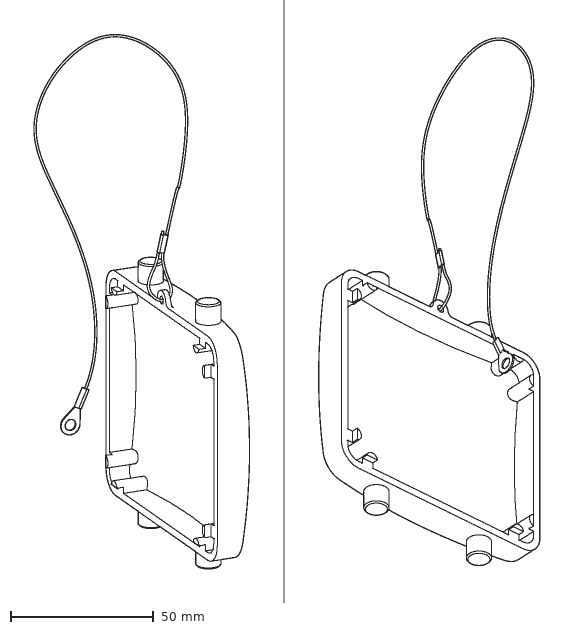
import cadquery as cq
import math


COVER_WIDTH = 92.3
COVER_HEIGHT = 83.0
COVER_DEPTH = 17.4
CORNER_RADIUS = 8.0
WALL = 2.9
DOME_RADIUS = 231.7
DOME_EDGE_FILLET = 1.2

POST_DIAMETER = 8.9
POST_SPACING = 47.7
POST_Y = 7.0
POST_SPAN = 97.9
POST_CHAMFER = 0.5

PEG_DIAMETER = 4.8
PEG_PROTRUSION = 2.5
PEG_NOSE_DEPTH = 2.0
PEG_INSET = 1.7
PEG_X = 34.0
PEG_Z = 29.5

LUG_RADIUS = 3.5
LUG_HOLE_DIAMETER = 2.7
LUG_RISE = 1.4
LUG_THICKNESS = 2.0
LUG_FILLET = 2.1

CABLE_DIAMETER = 0.87
CRIMP_WIDTH = 2.9
CRIMP_THICKNESS = 1.06
FERRULE_LENGTH = 6.5
FERRULE_Y = 0.4
FERRULE_Z = 63.7
FERRULE_TILT = 13.0
STRAND_SPACING = 1.7
CABLE_STUB = 1.2
EYE_Y = -35.1
EYE_Z = 1.7
EYE_TILT = 24.7
EYE_RADIUS = 3.7
EYE_HOLE_DIAMETER = 4.0
EYE_THICKNESS = 0.5
NECK_START = 6.5
NECK_WIDTH = 2.3
BARREL_END = 13.9

BOW_POINTS = [
    (-25.5, 38.5),
    (-27.6, 53.5),
    (-34.0, 73.2),
    (-43.5, 94.2),
    (-48.8, 113.3),
    (-41.3, 132.6),
    (-20.9, 143.6),
    (0.5, 132.6),
    (9.7, 108.1),
    (6.5, 83.8),
]
LOOP_POINTS = [
    (0.8, 55.8),
    (2.7, 49.8),
    (3.7, 45.4),
    (2.1, 42.7),
    (-0.5, 42.9),
    (-2.9, 44.5),
    (-5.0, 48.0),
    (-3.3, 54.5),
]

HALF_WIDTH = COVER_WIDTH / 2
HALF_HEIGHT = COVER_HEIGHT / 2
DOME_CENTRE_Y = COVER_DEPTH - DOME_RADIUS
PEG_WALL_X = HALF_WIDTH - WALL - PEG_INSET
PEG_WALL_Z = HALF_HEIGHT - WALL - PEG_INSET
PEG_REACH = PEG_INSET + WALL / 2
WALL_ROOT_Z = HALF_HEIGHT - WALL / 2
LUG_Z = HALF_HEIGHT + LUG_RISE


def toward_back(y=0.0):
    """Workplane parallel to XZ at the given Y, with local x = -X, local y = Z and normal +Y."""
    return cq.Workplane(cq.Plane((0, y, 0), (-1, 0, 0), (0, 1, 0)))




def dome(radius):
    return cq.Workplane("XY").sphere(radius).translate((0, DOME_CENTRE_Y, 0))


def rounded_block(width, height, radius):
    block = toward_back().rect(width, height).extrude(COVER_DEPTH)
    return block.edges("|Y").fillet(radius)


def cavity():
    block = rounded_block(COVER_WIDTH - 2 * WALL, COVER_HEIGHT - 2 * WALL, CORNER_RADIUS - WALL)
    return block.intersect(dome(DOME_RADIUS - WALL))


def outer_form():
    form = rounded_block(COVER_WIDTH, COVER_HEIGHT, CORNER_RADIUS).intersect(dome(DOME_RADIUS))
    return form.faces("%SPHERE").edges().fillet(DOME_EDGE_FILLET)


def post(x, side):
    """Chamfered round post standing on the top (side = 1) or bottom (side = -1) wall."""
    plane = cq.Plane((x, POST_Y, side * WALL_ROOT_Z), (1, 0, 0), (0, 0, side))
    body = cq.Workplane(plane).circle(POST_DIAMETER / 2).extrude(POST_SPAN / 2 - WALL_ROOT_Z)
    return body.faces(">Z" if side > 0 else "<Z").chamfer(POST_CHAMFER)


def peg(x, z, wall_angle):
    """Rib running from the floor to the rim beside a wall, with a D-shaped nose.

    Only the nose stands out past the rim. wall_angle turns the peg from the top wall to its own.
    """
    radius = PEG_DIAMETER / 2
    flat = PEG_NOSE_DEPTH - radius
    half_chord = math.sqrt(radius**2 - flat**2)
    shank = toward_back().circle(radius).extrude(COVER_DEPTH)
    web = toward_back().center(0, PEG_REACH / 2).rect(PEG_DIAMETER, PEG_REACH).extrude(COVER_DEPTH)
    nose = (
        toward_back(-PEG_PROTRUSION)
        .moveTo(-half_chord, flat)
        .threePointArc((0, -radius), (half_chord, flat))
        .close()
        .extrude(PEG_PROTRUSION)
    )
    whole = shank.union(web).union(nose)
    return whole.rotate((0, 0, 0), (0, 1, 0), wall_angle).translate((x, 0, z))


def lug():
    """Ear on the top wall, blended into it by concave fillets."""
    centre_gap = LUG_RADIUS + LUG_FILLET
    fillet_rise = LUG_FILLET - LUG_RISE
    foot_x = math.sqrt(centre_gap**2 - fillet_rise**2)
    touch_x = foot_x * LUG_RADIUS / centre_gap
    touch_z = LUG_Z + fillet_rise * LUG_RADIUS / centre_gap
    middle = (math.radians(270) + math.pi + math.atan2(fillet_rise, foot_x)) / 2
    middle_x = foot_x + LUG_FILLET * math.cos(middle)
    middle_z = HALF_HEIGHT + LUG_FILLET + LUG_FILLET * math.sin(middle)
    return (
        toward_back()
        .moveTo(-foot_x, WALL_ROOT_Z)
        .lineTo(-foot_x, HALF_HEIGHT)
        .threePointArc((-middle_x, middle_z), (-touch_x, touch_z))
        .threePointArc((0, LUG_Z + LUG_RADIUS), (touch_x, touch_z))
        .threePointArc((middle_x, middle_z), (foot_x, HALF_HEIGHT))
        .lineTo(foot_x, WALL_ROOT_Z)
        .close()
        .extrude(LUG_THICKNESS)
    )


def make_cover():
    cover = outer_form().cut(cavity())
    pegs = cq.Workplane("XY")
    for side in (-1, 1):
        for level in (-1, 1):
            pegs = pegs.union(peg(side * PEG_X, level * PEG_WALL_Z, 0 if level > 0 else 180))
            pegs = pegs.union(peg(side * PEG_WALL_X, level * PEG_Z, side * 90))
    cover = cover.union(pegs.intersect(dome(DOME_RADIUS - WALL / 2)))
    for x in (-POST_SPACING / 2, POST_SPACING / 2):
        for side in (-1, 1):
            cover = cover.union(post(x, side))
    hole = toward_back().center(0, LUG_Z).circle(LUG_HOLE_DIAMETER / 2).extrude(LUG_THICKNESS)
    return cover.union(lug()).cut(hole)




def tilted_plane(y, z, tilt):
    """Plane X = 0 at (y, z) whose local y axis is Z tilted toward +Y by an angle in degrees."""
    lean = math.radians(tilt)
    return cq.Plane((0, y, z), (0, math.cos(lean), -math.sin(lean)), (1, 0, 0))


FERRULE_PLANE = tilted_plane(FERRULE_Y, FERRULE_Z, FERRULE_TILT)
EYE_PLANE = tilted_plane(EYE_Y, EYE_Z, EYE_TILT)


def on_plane(plane, across, along):
    return plane.toWorldCoords((across, along, 0))


def crimp_sleeve(plane, start, length):
    """Flat sleeve with rounded sides along the local y axis of a plane."""
    section = cq.Plane(on_plane(plane, 0, start), plane.xDir, plane.yDir)
    return cq.Workplane(section).slot2D(CRIMP_WIDTH, CRIMP_THICKNESS).extrude(length)


def make_cable_path():
    """Cable centre line from the eye terminal, over the big bow and round the small loop."""
    up_at_eye = EYE_PLANE.yDir
    up_at_ferrule = FERRULE_PLANE.yDir
    half_gap = STRAND_SPACING / 2
    half_ferrule = FERRULE_LENGTH / 2
    barrel_bottom = on_plane(EYE_PLANE, 0, NECK_START)
    barrel_top = on_plane(EYE_PLANE, 0, BARREL_END)
    main_top = on_plane(FERRULE_PLANE, half_gap, half_ferrule)
    main_bottom = on_plane(FERRULE_PLANE, half_gap, -half_ferrule)
    tail_bottom = on_plane(FERRULE_PLANE, -half_gap, -half_ferrule)
    tail_end = on_plane(FERRULE_PLANE, -half_gap, half_ferrule + CABLE_STUB)
    bow = [barrel_top, *[cq.Vector(0, y, z) for y, z in BOW_POINTS], main_top]
    loop = [main_bottom, *[cq.Vector(0, y, z) for y, z in LOOP_POINTS], tail_bottom]
    return cq.Wire.assembleEdges(
        [
            cq.Edge.makeLine(barrel_bottom, barrel_top),
            cq.Edge.makeSpline(bow, tangents=[up_at_eye, -up_at_ferrule]),
            cq.Edge.makeLine(main_top, main_bottom),
            cq.Edge.makeSpline(loop, tangents=[-up_at_ferrule, up_at_ferrule]),
            cq.Edge.makeLine(tail_bottom, tail_end),
        ]
    )


def make_cable():
    start = cq.Plane(on_plane(EYE_PLANE, 0, NECK_START), (1, 0, 0), EYE_PLANE.yDir)
    section = cq.Workplane(start).circle(CABLE_DIAMETER / 2)
    return section.sweep(cq.Workplane(make_cable_path()))


def strand_bore(plane, across, start, length):
    """Straight run of cable along the local y axis of a plane."""
    section = cq.Plane(on_plane(plane, across, start), plane.xDir, plane.yDir)
    return cq.Workplane(section).circle(CABLE_DIAMETER / 2).extrude(length)


def make_ferrule():
    ferrule = crimp_sleeve(FERRULE_PLANE, -FERRULE_LENGTH / 2, FERRULE_LENGTH)
    for across in (-STRAND_SPACING / 2, STRAND_SPACING / 2):
        ferrule = ferrule.cut(strand_bore(FERRULE_PLANE, across, -FERRULE_LENGTH / 2, FERRULE_LENGTH))
    return ferrule


def make_eye_terminal():
    """Thin ring whose neck runs tangent from the ring up to the crimped barrel.

    Ring and neck are flush with the -X face of the barrel.
    """
    half_neck = NECK_WIDTH / 2
    corner_angle = math.atan2(NECK_START, half_neck)
    tangent_angle = corner_angle - math.acos(EYE_RADIUS / math.hypot(half_neck, NECK_START))
    tangent_x = EYE_RADIUS * math.cos(tangent_angle)
    tangent_y = EYE_RADIUS * math.sin(tangent_angle)
    flush_face = cq.Workplane(EYE_PLANE).workplane(offset=-CRIMP_THICKNESS / 2)
    plate = (
        flush_face.moveTo(half_neck, NECK_START)
        .lineTo(tangent_x, tangent_y)
        .threePointArc((0, -EYE_RADIUS), (-tangent_x, tangent_y))
        .lineTo(-half_neck, NECK_START)
        .close()
        .extrude(EYE_THICKNESS)
    )
    hole = flush_face.circle(EYE_HOLE_DIAMETER / 2).extrude(EYE_THICKNESS)
    barrel_length = BARREL_END - NECK_START
    barrel = crimp_sleeve(EYE_PLANE, NECK_START, barrel_length)
    return plate.cut(hole).union(barrel).cut(strand_bore(EYE_PLANE, 0, NECK_START, barrel_length))


cover = make_cover()
cable = make_cable()
ferrule = make_ferrule()
eye_terminal = make_eye_terminal()

result = cq.Compound.makeCompound([cover.val(), cable.val(), ferrule.val(), eye_terminal.val()])